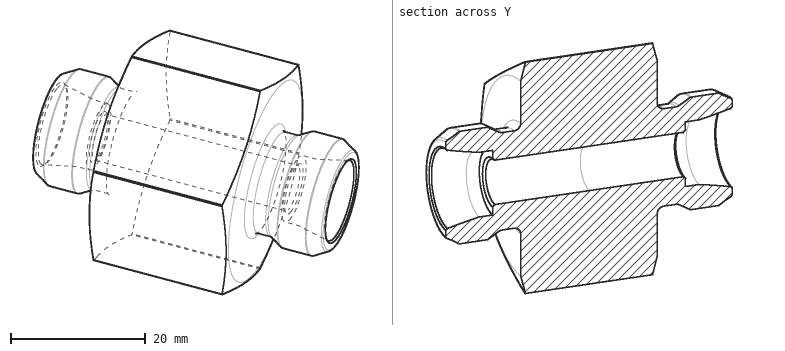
import cadquery as cq
import math

length = 46.0

hex_length = 22.0
across_flats = 32.0
across_corners = 36.85
hex_face_diameter = 31.05
hex_chamfer_angle = 15.0

stub_diameter = 18.0
neck_diameter = 15.6
flank_angle = 30.0
land_start = 2.2
land_end = 6.7
end_round = 0.35
land_round = 0.28
neck_blend = 0.9
neck_fillet = 1.0

bore_diameter = 7.0
bore_chamfer = 0.35
socket_diameter = 10.2
socket_depth = 7.5
mouth_diameter = 12.37
mouth_chamfer = 0.28
cone_half_angle = 12.0


def revolve_about_x(profile):
    return profile.close().revolve(360, (0, 0, 0), (1, 0, 0))


def circle_at(x):
    """Selector for the circular edges lying in the plane at this X."""
    reach = length
    margin = 0.005
    return cq.selectors.BoxSelector(
        (x - margin, -reach, -reach), (x + margin, reach, reach), boundingbox=True
    )


def make_hexagon():
    sharp_corners = across_flats / math.cos(math.radians(30))
    prism = (
        cq.Workplane("YZ")
        .polygon(6, sharp_corners)
        .extrude(hex_length / 2, both=True)
        .rotate((0, 0, 0), (1, 0, 0), 90)
    )
    half = hex_length / 2
    face_radius = hex_face_diameter / 2
    corner_radius = across_corners / 2
    chamfer_length = (corner_radius - face_radius) * math.tan(math.radians(hex_chamfer_angle))
    envelope = revolve_about_x(
        cq.Workplane("XY")
        .moveTo(-half, 0)
        .lineTo(-half, face_radius)
        .lineTo(-half + chamfer_length, corner_radius)
        .lineTo(half - chamfer_length, corner_radius)
        .lineTo(half, face_radius)
        .lineTo(half, 0)
    )
    return prism.intersect(envelope)


def make_stub():
    """Solid stub at the -X end, reaching to the centre of the hexagon."""
    end = -length / 2
    hex_face = -hex_length / 2
    stub_radius = stub_diameter / 2
    neck_radius = neck_diameter / 2
    flank_slope = math.tan(math.radians(flank_angle))
    end_radius = stub_radius - land_start * flank_slope
    neck_start = end + land_end + (stub_radius - neck_radius) / flank_slope
    diagonal = neck_fillet * math.sqrt(0.5)
    fillet_mid = (hex_face - neck_fillet + diagonal, neck_radius + neck_fillet - diagonal)
    body = revolve_about_x(
        cq.Workplane("XY")
        .moveTo(end, 0)
        .lineTo(end, end_radius)
        .lineTo(end + land_start, stub_radius)
        .lineTo(end + land_end, stub_radius)
        .lineTo(neck_start, neck_radius)
        .lineTo(hex_face - neck_fillet, neck_radius)
        .threePointArc(fillet_mid, (hex_face, neck_radius + neck_fillet))
        .lineTo(0, neck_radius + neck_fillet)
        .lineTo(0, 0)
    )
    rounds = (
        (end, end_round),
        (end + land_start, land_round),
        (end + land_end, land_round),
        (neck_start, neck_blend),
    )
    for edge_x, radius in rounds:
        body = body.edges(circle_at(edge_x)).fillet(radius)
    return body


def make_seat():
    """Half of the passage: mouth chamfer, cone, socket and through bore."""
    end = -length / 2
    mouth_radius = mouth_diameter / 2
    socket_radius = socket_diameter / 2
    bore_radius = bore_diameter / 2
    cone_length = (mouth_radius - socket_radius) / math.tan(math.radians(cone_half_angle))
    return revolve_about_x(
        cq.Workplane("XY")
        .moveTo(end, 0)
        .lineTo(end, mouth_radius + mouth_chamfer)
        .lineTo(end + mouth_chamfer, mouth_radius)
        .lineTo(end + mouth_chamfer + cone_length, socket_radius)
        .lineTo(end + socket_depth, socket_radius)
        .lineTo(end + socket_depth, bore_radius + bore_chamfer)
        .lineTo(end + socket_depth + bore_chamfer, bore_radius)
        .lineTo(0, bore_radius)
        .lineTo(0, 0)
    )


stub = make_stub()
seat = make_seat()
result = (
    make_hexagon()
    .union(stub)
    .union(stub.mirror("YZ"))
    .cut(seat)
    .cut(seat.mirror("YZ"))
)